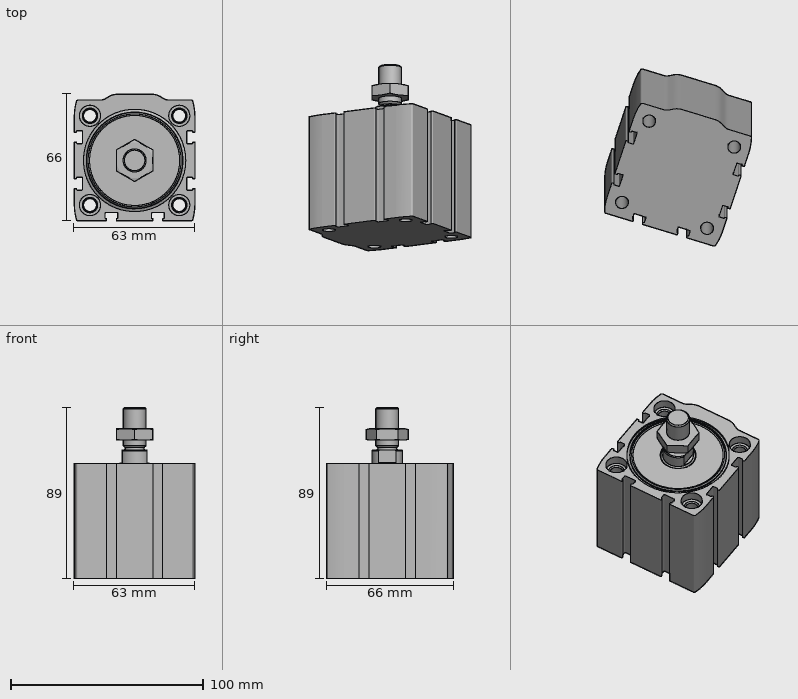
import cadquery as cq
import math

half_width = 31.5
body_height = 60.0
hump_rise = 3.0
hump_half_flat = 9.1
hump_crest_radius = 8.0
hump_foot_radius = 5.0
hump_slope = math.radians(30)
side_flat_half = 22.3
side_crown_radius = 32.0
corner_radius = 1.0

slot_offset = 12.1
slot_opening = 5.1
slot_inner_width = 6.6
slot_depth = 4.3
slot_lip = 1.3
slot_edge_radius = 0.35

hole_offset = 23.25
hole_diameter = 6.65
counterbore_diameter = 11.0
counterbore_depth = 5.0
hole_mouth_diameter = 8.0

recess_diameter = 53.3
recess_depth = 1.0
ring_inner_diameter = 50.4
ring_slope = math.radians(30)

cover_diameter = 50.0
cover_rim_diameter = 48.4
cover_face_diameter = 46.9
cover_face_drop = 0.3
cover_face_height = body_height - cover_face_drop

wiper_mouth_diameter = 18.7
wiper_diameter = 18.1
wiper_slope = math.radians(45)

rod_diameter = 16.0
rod_insertion = 5.0
rod_bottom = body_height - rod_insertion
shoulder_height = 67.0
shoulder_chamfer = 0.5
flat_width = 13.0
flat_bottom = body_height + 0.3
flat_runout_slope = math.radians(15)
neck_diameter = 9.8
neck_fillet = 0.6
thread_diameter = 12.0
thread_start = 69.2
tip_diameter = 10.65
rod_top = 89.0

nut_width = 19.0
nut_bottom = 72.0
nut_thickness = 6.0
nut_face_diameter = 18.7
nut_chamfer_angle = math.radians(15)


def revolve_profile(points):
    """Solid of revolution about Z from (radius, height) points."""
    return cq.Workplane("XZ").polyline(points).close().revolve(360, (0, 0, 0), (0, 1, 0))


def housing_outline():
    """Extruded cross-section with crowned sides and a hump on the +Y side."""
    crown_rise = half_width - side_flat_half
    crown_angle = math.asin(crown_rise / side_crown_radius)
    crown_center = half_width - side_crown_radius

    def crown(angle):
        """Point on the crowned side of the +X, +Y corner."""
        return (
            crown_center + side_crown_radius * math.cos(angle),
            side_flat_half + side_crown_radius * math.sin(angle),
        )

    crown_mid = crown(crown_angle / 2)
    crown_end = crown(crown_angle)

    crest = half_width + hump_rise

    def crest_arc(angle):
        """Point on the rounded shoulder at the top of the hump."""
        return (
            hump_half_flat + hump_crest_radius * math.sin(angle),
            crest - hump_crest_radius * (1 - math.cos(angle)),
        )

    slope_top = crest_arc(hump_slope)
    foot_rise = hump_foot_radius * (1 - math.cos(hump_slope))
    slope_drop = slope_top[1] - half_width - foot_rise
    slope_bottom_x = slope_top[0] + slope_drop / math.tan(hump_slope)
    foot_x = slope_bottom_x + hump_foot_radius * math.sin(hump_slope)

    def foot_arc(angle):
        """Point on the fillet at the foot of the hump."""
        return (
            foot_x - hump_foot_radius * math.sin(angle),
            half_width + hump_foot_radius * (1 - math.cos(angle)),
        )

    half = (
        cq.Workplane("XY")
        .moveTo(0, -half_width)
        .lineTo(crown_end[0], -half_width)
        .threePointArc((crown_mid[0], -crown_mid[1]), (half_width, -side_flat_half))
        .lineTo(half_width, side_flat_half)
        .threePointArc(crown_mid, crown_end)
        .lineTo(foot_x, half_width)
        .threePointArc(foot_arc(hump_slope / 2), foot_arc(hump_slope))
        .lineTo(*slope_top)
        .threePointArc(crest_arc(hump_slope / 2), (hump_half_flat, crest))
        .lineTo(0, crest)
        .close()
        .extrude(body_height)
    )
    corners = cq.selectors.BoxSelector(
        (crown_end[0] - corner_radius, -half_width - corner_radius, 0),
        (crown_end[0] + corner_radius, half_width + corner_radius, body_height),
    )
    half = half.edges("|Z").edges(corners).fillet(corner_radius)
    return half.union(half.mirror("YZ"))


def sensor_slot():
    """T-slot cutter opening toward -Y, centred on X = 0."""
    face = -half_width
    lip_end = face + slot_lip
    slot_floor = face + slot_depth
    mouth = slot_opening / 2
    chamber = slot_inner_width / 2
    return (
        cq.Workplane("XY")
        .polyline([
            (-mouth, face),
            (-mouth, lip_end),
            (-chamber, lip_end),
            (-chamber, slot_floor),
            (chamber, slot_floor),
            (chamber, lip_end),
            (mouth, lip_end),
            (mouth, face),
        ])
        .close()
        .extrude(body_height)
    )


def cut_slot(block, offset, face_angle):
    """Cut one slot into the side at face_angle and round all its lengthwise edges."""
    slot = sensor_slot().translate((offset, 0, 0)).rotate((0, 0, 0), (0, 0, 1), face_angle)
    center = slot.val().Center()
    slot_edges = cq.selectors.BoxSelector(
        (center.x - slot_inner_width, center.y - slot_inner_width, 0),
        (center.x + slot_inner_width, center.y + slot_inner_width, body_height),
    )
    return block.cut(slot).edges("|Z").edges(slot_edges).fillet(slot_edge_radius)


def cover_groove():
    """Cutter for the ring recess: sloped retaining ring, narrow gap and cover edge chamfer."""
    recess_radius = recess_diameter / 2
    ring_inner_radius = ring_inner_diameter / 2
    ring_bottom = body_height - recess_depth
    ring_top = ring_bottom + (recess_radius - ring_inner_radius) * math.tan(ring_slope)
    gap_bottom = body_height - (cover_diameter - cover_rim_diameter) / 2
    return revolve_profile([
        (recess_radius, body_height),
        (recess_radius, ring_bottom),
        (ring_inner_radius, ring_top),
        (ring_inner_radius, gap_bottom),
        (cover_diameter / 2, gap_bottom),
        (cover_rim_diameter / 2, body_height),
    ])


def cover_recess():
    """Cutter that sinks the cover face inside its rounded rim and forms the conical wiper lip."""
    face_radius = cover_face_diameter / 2
    mouth_radius = wiper_mouth_diameter / 2
    wiper_radius = wiper_diameter / 2
    rod_radius = rod_diameter / 2
    mouth_bottom = cover_face_height - (mouth_radius - wiper_radius)
    wiper_bottom = cover_face_height - (wiper_radius - rod_radius) * math.tan(wiper_slope)
    arc_offset = cover_face_drop * math.sqrt(0.5)
    return (
        cq.Workplane("XZ")
        .moveTo(face_radius + cover_face_drop, body_height)
        .threePointArc(
            (face_radius + cover_face_drop - arc_offset, cover_face_height + arc_offset),
            (face_radius, cover_face_height),
        )
        .lineTo(mouth_radius, cover_face_height)
        .lineTo(wiper_radius, mouth_bottom)
        .lineTo(wiper_radius, wiper_bottom)
        .lineTo(rod_radius, cover_face_height)
        .lineTo(rod_radius, body_height)
        .close()
        .revolve(360, (0, 0, 0), (0, 1, 0))
    )


def rod_bore():
    """Cutter for the blind bore that holds the rod."""
    return cq.Workplane("XY", origin=(0, 0, rod_bottom)).circle(rod_diameter / 2).extrude(rod_insertion)


def mounting_hole():
    """Through-hole cutter with a counterbore and a countersunk mouth, on the Z axis."""
    mouth_depth = counterbore_depth + (hole_mouth_diameter - hole_diameter) / 2
    return revolve_profile([
        (0, 0),
        (hole_diameter / 2, 0),
        (hole_diameter / 2, body_height - mouth_depth),
        (hole_mouth_diameter / 2, body_height - counterbore_depth),
        (counterbore_diameter / 2, body_height - counterbore_depth),
        (counterbore_diameter / 2, body_height),
        (0, body_height),
    ])


def make_housing():
    """Slotted cylinder housing with its rod cover and four counterbored mounting holes."""
    housing = housing_outline()
    for face_angle in (-90, 0, 90):
        for offset in (-slot_offset, slot_offset):
            housing = cut_slot(housing, offset, face_angle)

    hole = mounting_hole()
    for x in (-hole_offset, hole_offset):
        for y in (-hole_offset, hole_offset):
            housing = housing.cut(hole.translate((x, y, 0)))

    return housing.cut(cover_groove()).cut(cover_recess()).cut(rod_bore())


def rod_body():
    """Turned rod with an undercut neck below the thread."""
    rod_radius = rod_diameter / 2
    neck_radius = neck_diameter / 2
    thread_radius = thread_diameter / 2
    tip_radius = tip_diameter / 2
    fillet_offset = neck_fillet * (1 - math.sqrt(0.5))
    return (
        cq.Workplane("XZ")
        .moveTo(0, rod_bottom)
        .lineTo(rod_radius, rod_bottom)
        .lineTo(rod_radius, shoulder_height - shoulder_chamfer)
        .lineTo(rod_radius - shoulder_chamfer, shoulder_height)
        .lineTo(neck_radius + neck_fillet, shoulder_height)
        .threePointArc(
            (neck_radius + fillet_offset, shoulder_height + fillet_offset),
            (neck_radius, shoulder_height + neck_fillet),
        )
        .lineTo(neck_radius, thread_start - (thread_radius - neck_radius))
        .lineTo(thread_radius, thread_start)
        .lineTo(thread_radius, rod_top - (thread_radius - tip_radius))
        .lineTo(tip_radius, rod_top)
        .lineTo(0, rod_top)
        .close()
        .revolve(360, (0, 0, 0), (0, 1, 0))
    )


def wrench_flat():
    """Cutter for the flat on the +X side, running out on a slope at its foot."""
    inner = flat_width / 2
    outer = rod_diameter
    runout_drop = (outer - inner) * math.tan(flat_runout_slope)
    return (
        cq.Workplane("XZ")
        .polyline([
            (inner, flat_bottom),
            (outer, flat_bottom - runout_drop),
            (outer, shoulder_height),
            (inner, shoulder_height),
        ])
        .close()
        .extrude(rod_diameter / 2, both=True)
    )


def make_rod():
    """Piston rod with a pair of wrench flats."""
    flat = wrench_flat()
    return rod_body().cut(flat).cut(flat.mirror("YZ"))


def make_nut():
    """Hexagon nut with corners on the Y axis and both faces chamfered."""
    nut_corner_radius = nut_width / math.sqrt(3)
    face_radius = nut_face_diameter / 2
    drop = (nut_corner_radius - face_radius) * math.tan(nut_chamfer_angle)
    hexagon = (
        cq.Workplane("XY")
        .polygon(6, 2 * nut_corner_radius)
        .extrude(nut_thickness)
        .rotate((0, 0, 0), (0, 0, 1), 90)
    )
    chamfered = revolve_profile([
        (0, 0),
        (face_radius, 0),
        (nut_corner_radius, drop),
        (nut_corner_radius, nut_thickness - drop),
        (face_radius, nut_thickness),
        (0, nut_thickness),
    ])
    bore = cq.Workplane("XY").circle(thread_diameter / 2).extrude(nut_thickness)
    return hexagon.intersect(chamfered).cut(bore).translate((0, 0, nut_bottom))


housing = make_housing()
rod = make_rod()
nut = make_nut()

result = cq.Compound.makeCompound([housing.val(), rod.val(), nut.val()])